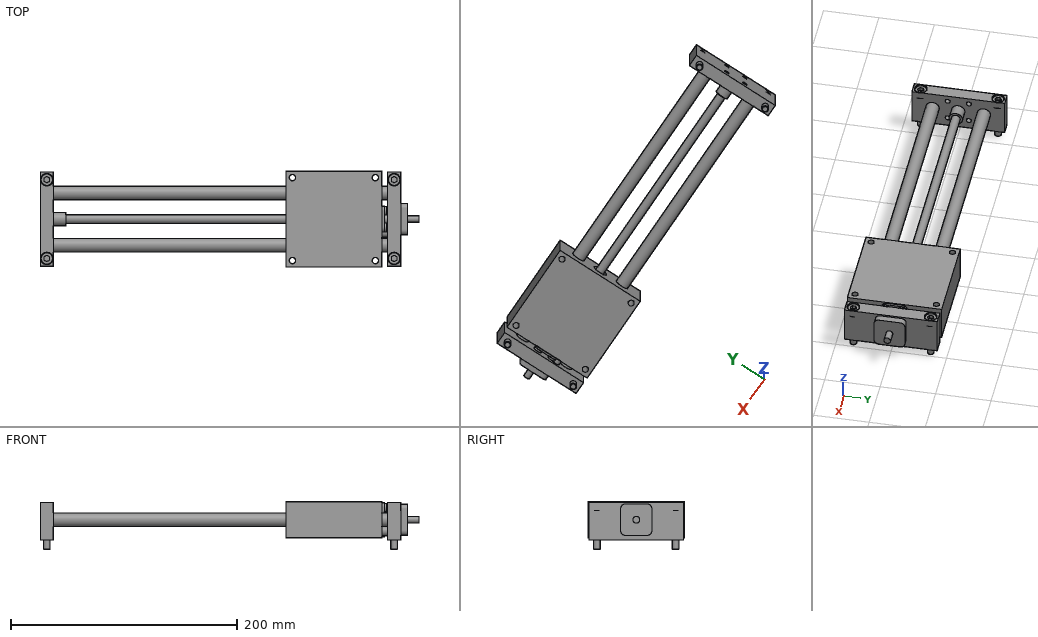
import cadquery as cq


PLATE_WIDTH = 83.8
PLATE_TOP = 15.5
PLATE_HEIGHT = 33.5
LEFT_PLATE_THICKNESS = 11.5
RIGHT_PLATE_START = 307.0
RIGHT_PLATE_THICKNESS = 12.0
RIGHT_PLATE_END = RIGHT_PLATE_START + RIGHT_PLATE_THICKNESS

BOLT_Y = 35.0
BOLT_DIAMETER = 6.0
BOLT_PROTRUSION = 8.5
BOLT_TIP_CHAMFER = 0.7
BOLT_HEAD_DIAMETER = 10.0
BOLT_HEAD_HEIGHT = 6.0
BOLT_SOCKET_ACROSS_CORNERS = 5.7
HEXAGON_SIDES = 6
HEXAGON_CORNER_ANGLE = 90
BOLT_SOCKET_DEPTH = 3.0
COUNTERBORE_DIAMETER = 11.0
COUNTERBORE_DEPTH = 7.0

ROD_Y = 23.0
ROD_DIAMETER = 12.0
SCREW_DIAMETER = 8.0
COLLAR_DIAMETER = 12.0
COLLAR_LENGTH = 11.0

CAP_SIZE = 27.8
CAP_THICKNESS = 6.0
CAP_CORNER_RADIUS = 4.5
CAP_HOLE_PITCH = 19.0
CAP_HOLE_DIAMETER = 4.5
SHAFT_DIAMETER = 6.0
SHAFT_END = 335.0

BLOCK_SIZE = 85.0
BLOCK_HEIGHT = 32.0
BLOCK_END = 302.2
BLOCK_START = BLOCK_END - BLOCK_SIZE
BLOCK_HOLE_PITCH = 73.5
BLOCK_HOLE_DIAMETER = 5.5
SCREW_RECESS_DIAMETER = 13.0
SCREW_RECESS_DEPTH = 5.0

FLANGE_WIDTH = 22.8
FLANGE_HEIGHT = 30.0
FLANGE_THICKNESS = 2.0
FLANGE_CORNER_RADIUS = 4.0
HEAD_DIAMETER = 7.7
HEAD_HEIGHT = 2.0
HEAD_Y = 7.5
HEAD_Z = 10.7
BUMPER_DIAMETER = 8.0
BUMPER_Y = -12.0
BUMPER_Z = -10.0


def rod_along_x(diameter, start, end, y=0, z=0):
    plane = cq.Workplane("YZ", origin=(start, y, z))
    return plane.circle(diameter / 2).extrude(end - start)


def block_along_x(start, length, width, height, center_z=0):
    plane = cq.Workplane("YZ", origin=(start, 0, center_z))
    return plane.rect(width, height).extrude(length)


def add_bolt(plate, x, y):
    """Sink a socket head bolt into the plate; its shank stands out below."""
    floor = PLATE_TOP - COUNTERBORE_DEPTH
    tip = PLATE_TOP - PLATE_HEIGHT - BOLT_PROTRUSION
    counterbore = (
        cq.Workplane("XY", origin=(x, y, floor))
        .circle(COUNTERBORE_DIAMETER / 2)
        .extrude(COUNTERBORE_DEPTH)
    )
    shank = (
        cq.Workplane("XY", origin=(x, y, tip))
        .circle(BOLT_DIAMETER / 2)
        .extrude(floor - tip)
        .faces("<Z")
        .chamfer(BOLT_TIP_CHAMFER)
    )
    head = (
        cq.Workplane("XY", origin=(x, y, floor))
        .circle(BOLT_HEAD_DIAMETER / 2)
        .extrude(BOLT_HEAD_HEIGHT)
        .faces(">Z")
        .workplane()
        .transformed(rotate=(0, 0, HEXAGON_CORNER_ANGLE))
        .polygon(HEXAGON_SIDES, BOLT_SOCKET_ACROSS_CORNERS)
        .cutBlind(-BOLT_SOCKET_DEPTH)
    )
    return plate.cut(counterbore).union(shank).union(head)


def end_plate(start, thickness):
    center_z = PLATE_TOP - PLATE_HEIGHT / 2
    plate = block_along_x(start, thickness, PLATE_WIDTH, PLATE_HEIGHT, center_z)
    for y in (-BOLT_Y, BOLT_Y):
        plate = add_bolt(plate, start + thickness / 2, y)
    return plate


def left_end_plate():
    """End plate with four screw holes through it around the lead screw axis."""
    cap_holes = (
        cq.Workplane("YZ")
        .rect(CAP_HOLE_PITCH, CAP_HOLE_PITCH, forConstruction=True)
        .vertices()
        .circle(CAP_HOLE_DIAMETER / 2)
        .extrude(LEFT_PLATE_THICKNESS)
    )
    return end_plate(0, LEFT_PLATE_THICKNESS).cut(cap_holes)


def make_frame():
    frame = left_end_plate().union(end_plate(RIGHT_PLATE_START, RIGHT_PLATE_THICKNESS))
    for y in (-ROD_Y, ROD_Y):
        frame = frame.union(rod_along_x(ROD_DIAMETER, LEFT_PLATE_THICKNESS, RIGHT_PLATE_START, y))

    screw = rod_along_x(SCREW_DIAMETER, LEFT_PLATE_THICKNESS, RIGHT_PLATE_START)
    collar_end = LEFT_PLATE_THICKNESS + COLLAR_LENGTH
    collar = rod_along_x(COLLAR_DIAMETER, LEFT_PLATE_THICKNESS, collar_end)
    cap = block_along_x(RIGHT_PLATE_END, CAP_THICKNESS, CAP_SIZE, CAP_SIZE)
    cap = cap.edges("|X").fillet(CAP_CORNER_RADIUS)
    shaft = rod_along_x(SHAFT_DIAMETER, RIGHT_PLATE_END, SHAFT_END)
    return frame.union(screw).union(collar).union(cap).union(shaft)


def nut_flange():
    """Rounded flange with a screw head in each corner."""
    flange = block_along_x(BLOCK_END, FLANGE_THICKNESS, FLANGE_WIDTH, FLANGE_HEIGHT)
    flange = flange.edges("|X").fillet(FLANGE_CORNER_RADIUS)
    head_start = BLOCK_END + FLANGE_THICKNESS
    for y in (-HEAD_Y, HEAD_Y):
        for z in (-HEAD_Z, HEAD_Z):
            flange = flange.union(rod_along_x(HEAD_DIAMETER, head_start, head_start + HEAD_HEIGHT, y, z))
    return flange


def make_carriage():
    block = block_along_x(BLOCK_START, BLOCK_SIZE, BLOCK_SIZE, BLOCK_HEIGHT)
    block = (
        block.faces(">Z")
        .workplane(origin=(BLOCK_START + BLOCK_SIZE / 2, 0, 0))
        .rect(BLOCK_HOLE_PITCH, BLOCK_HOLE_PITCH, forConstruction=True)
        .vertices()
        .hole(BLOCK_HOLE_DIAMETER)
    )
    bumper = rod_along_x(BUMPER_DIAMETER, BLOCK_END, RIGHT_PLATE_START, BUMPER_Y, BUMPER_Z)
    carriage = block.union(nut_flange()).union(bumper)

    for y in (-ROD_Y, ROD_Y):
        carriage = carriage.cut(rod_along_x(ROD_DIAMETER, BLOCK_START, BLOCK_END, y))
    carriage = carriage.cut(rod_along_x(SCREW_DIAMETER, BLOCK_START, RIGHT_PLATE_START))
    recess_end = BLOCK_START + SCREW_RECESS_DEPTH
    return carriage.cut(rod_along_x(SCREW_RECESS_DIAMETER, BLOCK_START, recess_end))


frame = make_frame()
carriage = make_carriage()

result = cq.Compound.makeCompound([frame.val(), carriage.val()])